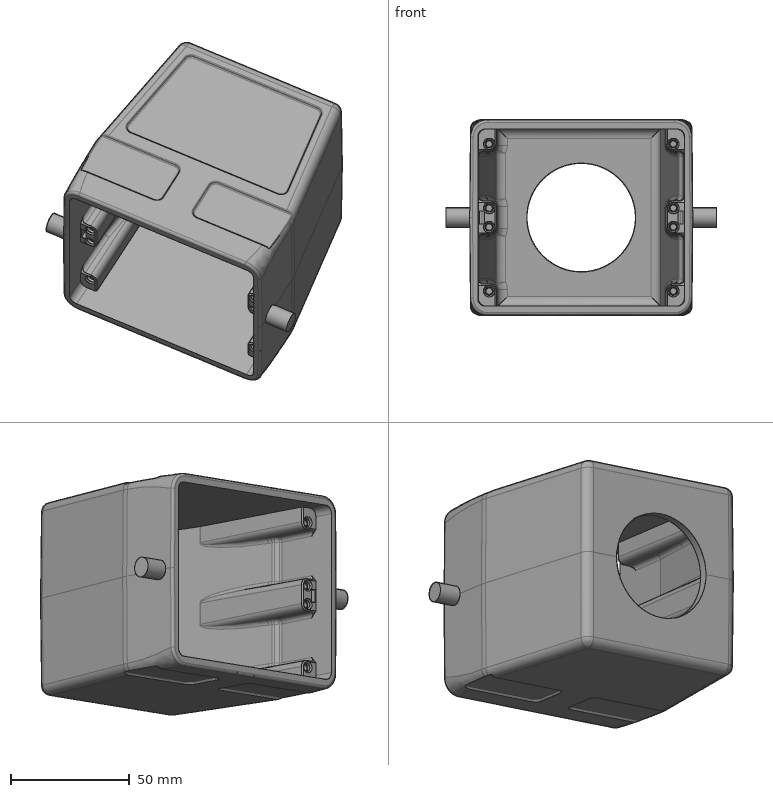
import cadquery as cq
import math

width = 94.0
length = 94.0
height = 82.5
half_width = width / 2
half_height = height / 2
side_draft = 0.5
bend_y = 30.0
bend_radius = 20.0
flank_angle = 7.8
edge_radius = 4.0
mouth_corner_radius = 7.6
blend_end_y = 28.5
blend_sections = 3
rim_radius = 1.2

mouth_half_width = 43.6
cavity_half_height = 37.3
cavity_corner_radius = 3.3
cavity_end_y = 90.0
floor_radius = 4.0
left_bend = (-42.9, 31.0)
left_end_x = -35.5
step_start = (43.0, 30.9)
step_end = (40.9, 33.5)
step_radius = 2.0
right_end_x = 32.8
cable_hole_diameter = 45.7

rib_front_y = 9.5
rib_draft = 0.5
rib_nose_radius = 3.0
rib_front_chamfer = 0.6
rib_root_radius = 2.0
screw_x = 38.8
inner_screw_z = 4.0
outer_screw_z = 31.0
sink_diameter = 4.8
sink_depth = 0.65
lead_diameter = 3.5
lead_depth = 2.0
core_diameter = 2.74
core_depth = 12.0
notch_inner_x = 40.8
notch_outer_x = 42.9
notch_half_height = 2.7
notch_depth = 3.0
notch_floor_radius = 1.0

pin_diameter = 8.4
pin_tip_x = 57.0
pin_root_x = 45.0
pin_y = 8.5

panel_depth = 1.0
panel_edge_radius = 0.45
panel_corner_radius = 3.0
main_panel_front_y = 39.2
main_panel_back_y = 86.6
main_panel_front_half_width = 38.3
side_panel_front_y = 12.5
side_panel_back_y = 32.7
side_panel_inner_x = 7.3


def flank_x(y):
    """Half width of the outer shell at mid height, behind the bend."""
    return half_width - (y - bend_y) * math.tan(math.radians(flank_angle))


def box_between(x_range, y_range, z_range):
    """Axis-aligned box given by its limits along each axis."""
    sizes = [high - low for low, high in (x_range, y_range, z_range)]
    return (
        cq.Workplane("XY")
        .box(*sizes, centered=False)
        .translate((x_range[0], y_range[0], z_range[0]))
    )


def rear_shell_half():
    """Upper half of the solid shell behind the blended mouth."""
    run_out = 20.0
    plan = [
        (-half_width, -run_out),
        (half_width, -run_out),
        (half_width, bend_y),
        (flank_x(length), length),
        (-flank_x(length), length),
        (-half_width, bend_y),
    ]
    half = cq.Workplane("XY").polyline(plan).close().extrude(half_height, taper=side_draft)

    def upright_edges(y):
        margin = 2.0
        zone = cq.selectors.BoxSelector(
            (-width, y - margin, margin), (width, y + margin, half_height - margin)
        )
        return half.edges(zone)

    half = upright_edges(bend_y).fillet(bend_radius)
    half = upright_edges(length).fillet(edge_radius)
    half = half.faces(">Z").edges().fillet(edge_radius)
    keep = box_between((-width, width), (blend_end_y, 2 * length), (-height, height))
    return half.intersect(keep)


def mouth_section(y):
    """Upper half outline of the shell at depth y, with its own corner radius."""
    share = 1 - y / blend_end_y
    radius = edge_radius + (mouth_corner_radius - edge_radius) * share**2
    draft = math.radians(side_draft)
    center_z = half_height - radius
    center_x = half_width - radius / math.cos(draft) - center_z * math.tan(draft)

    def on_arc(angle, side):
        return side * (center_x + radius * math.cos(angle)), center_z + radius * math.sin(angle)

    middle = (draft + math.pi / 2) / 2
    top = math.pi / 2
    return (
        cq.Workplane("XZ", origin=(0, y, 0))
        .moveTo(-half_width, 0)
        .lineTo(half_width, 0)
        .lineTo(*on_arc(draft, 1))
        .threePointArc(on_arc(middle, 1), on_arc(top, 1))
        .lineTo(*on_arc(top, -1))
        .threePointArc(on_arc(middle, -1), on_arc(draft, -1))
        .close()
        .val()
    )


def outer_shell():
    """Solid envelope of the hood with its rounded mouth rim."""
    depths = [blend_end_y * i / (blend_sections - 1) for i in range(blend_sections)]
    mouth_half = cq.Workplane(cq.Solid.makeLoft([mouth_section(y) for y in depths]))
    upper = rear_shell_half().union(mouth_half, clean=False)
    shell = upper.union(upper.mirror("XY"), clean=False).clean()
    return shell.faces("<Y").edges().fillet(rim_radius)


def rib(side, low_z, high_z):
    """One rib between two heights: rounded long edges, rooted in the side wall."""
    nose_x = side * (screw_x - rib_nose_radius)
    root_x = side * (half_width + rib_nose_radius)
    rib_length = length - rib_front_y
    growth = 2 * rib_length * math.tan(math.radians(rib_draft))
    root_size = (abs(root_x - nose_x) + growth, high_z - low_z + growth)
    middle = ((nose_x + root_x) / 2, (low_z + high_z) / 2)
    body = (
        cq.Workplane("XZ", origin=(0, length, 0))
        .center(*middle)
        .rect(*root_size)
        .extrude(rib_length, taper=rib_draft)
    )
    body = body.edges("not (<Y or >Y)").fillet(rib_nose_radius)
    return body.faces("<Y").chamfer(rib_front_chamfer)


def all_ribs():
    """Middle rib and two corner ribs on both side walls."""
    middle_top = inner_screw_z + rib_nose_radius
    corner_bottom = outer_screw_z - rib_nose_radius
    corner_top = cavity_half_height + rib_nose_radius + 2.0
    ribs = []
    for side in (-1, 1):
        ribs.append(rib(side, -middle_top, middle_top))
        ribs.append(rib(side, corner_bottom, corner_top))
        ribs.append(rib(side, -corner_top, -corner_bottom))
    return ribs


def cavity():
    """The hollow: stepped and tapered pocket around the ribs."""
    plan = [
        (-mouth_half_width, 0),
        (mouth_half_width, 0),
        step_start,
        step_end,
        (right_end_x, cavity_end_y),
        (left_end_x, cavity_end_y),
        left_bend,
    ]
    hollow = (
        cq.Workplane("XY", origin=(0, 0, -cavity_half_height))
        .polyline(plan)
        .close()
        .extrude(2 * cavity_half_height)
    )
    step_zone = cq.selectors.BoxSelector(
        (step_end[0] - 1, step_start[1] - 1, -1), (step_start[0] + 1, step_end[1] + 1, 1)
    )
    hollow = hollow.edges("|Z").edges(step_zone).fillet(step_radius)
    for one_rib in all_ribs():
        hollow = hollow.cut(one_rib)
    hollow = hollow.faces(">Y").edges().fillet(floor_radius)
    hollow = hollow.edges(rib_root_selector()).fillet(rib_root_radius)
    reach = 1.5
    mouth_zone = cq.selectors.BoxSelector(
        (-half_width, rib_front_y / 2 - reach, -half_height),
        (half_width, rib_front_y / 2 + reach, half_height),
    )
    return hollow.faces("|Z").edges(mouth_zone).fillet(cavity_corner_radius)


def rib_root_selector():
    """Picks the edges where the rib flanks meet the side walls, short of the rounded noses."""
    flank_levels = (inner_screw_z + rib_nose_radius, outer_screw_z - rib_nose_radius)
    reach = 1.0
    selector = None
    for side in (-1, 1):
        for up in (-1, 1):
            for level in flank_levels:
                zone = cq.selectors.BoxSelector(
                    (side * (screw_x + 0.4), rib_front_y + reach, up * level - reach),
                    (side * half_width, length / 2 + 10, up * level + reach),
                )
                selector = zone if selector is None else selector + zone
    return selector


def screw_hole(x, z):
    """Countersunk stepped hole entering a rib from its front face."""
    profile = [
        (0, 0),
        (sink_diameter / 2, 0),
        (lead_diameter / 2, sink_depth),
        (lead_diameter / 2, lead_depth),
        (core_diameter / 2, lead_depth),
        (core_diameter / 2, core_depth),
        (0, core_depth),
    ]
    hole = cq.Workplane("XY").polyline(profile).close().revolve(360, (0, 0), (0, 1))
    return hole.translate((x, rib_front_y, z))


def rib_notch(side):
    """Small recess between the two screws of a middle rib, next to the wall."""
    notch = box_between(
        (notch_inner_x, notch_outer_x),
        (rib_front_y, rib_front_y + notch_depth),
        (-notch_half_height, notch_half_height),
    )
    notch = notch.faces(">Y").edges("<X").fillet(notch_floor_radius)
    return notch if side > 0 else notch.mirror("YZ")


def locking_pin(side):
    """Cylindrical pin for the locking lever on one side wall."""
    return (
        cq.Workplane("YZ", origin=(side * pin_root_x, pin_y, 0))
        .circle(pin_diameter / 2)
        .extrude(side * (pin_tip_x - pin_root_x))
    )


def panel_cutter(outline):
    """Shallow recess cutter below the upper face with a rounded floor edge."""
    cutter = (
        cq.Workplane("XY", origin=(0, 0, half_height - panel_depth))
        .polyline(outline)
        .close()
        .extrude(2 * panel_depth)
    )
    return cutter.edges("|Z").fillet(panel_corner_radius).faces("<Z").edges().fillet(panel_edge_radius)


def main_panel():
    """Tapered label panel in the upper face, parallel to the flanks."""
    inset = (main_panel_back_y - main_panel_front_y) * math.tan(math.radians(flank_angle))
    back_half_width = main_panel_front_half_width - inset
    return panel_cutter(
        [
            (-main_panel_front_half_width, main_panel_front_y),
            (main_panel_front_half_width, main_panel_front_y),
            (back_half_width, main_panel_back_y),
            (-back_half_width, main_panel_back_y),
        ]
    )


def side_panel(side):
    """Label panel that runs out through the rounded long edge."""
    run_out_x = half_width + panel_corner_radius + 1.0
    return panel_cutter(
        [
            (side * side_panel_inner_x, side_panel_front_y),
            (side * run_out_x, side_panel_front_y),
            (side * run_out_x, side_panel_back_y),
            (side * side_panel_inner_x, side_panel_back_y),
        ]
    )


def cable_hole():
    """Round cable entry through the end wall."""
    return (
        cq.Workplane("XZ", origin=(0, cavity_end_y - floor_radius, 0))
        .circle(cable_hole_diameter / 2)
        .extrude(-length)
    )


def round_panel_rims(shell):
    """Round the edges where the panels meet the upper and lower faces."""
    reach_x = main_panel_front_half_width - 1.0
    rim_zone = cq.selectors.BoxSelector(
        (-reach_x, side_panel_front_y - 1, -height), (reach_x, main_panel_back_y + 1, height)
    )
    return shell.faces(">Z or <Z").edges(rim_zone).fillet(panel_edge_radius)


body = outer_shell()
for side in (-1, 1):
    body = body.union(locking_pin(side))

body = body.cut(main_panel())
for side in (-1, 1):
    recess = side_panel(side)
    body = body.cut(recess).cut(recess.mirror("XY"))

body = round_panel_rims(body)

hollow = cavity()
for side in (-1, 1):
    hollow = hollow.union(rib_notch(side))
    for z in (-outer_screw_z, -inner_screw_z, inner_screw_z, outer_screw_z):
        hollow = hollow.union(screw_hole(side * screw_x, z))
hollow = hollow.union(cable_hole())

result = body.cut(hollow)